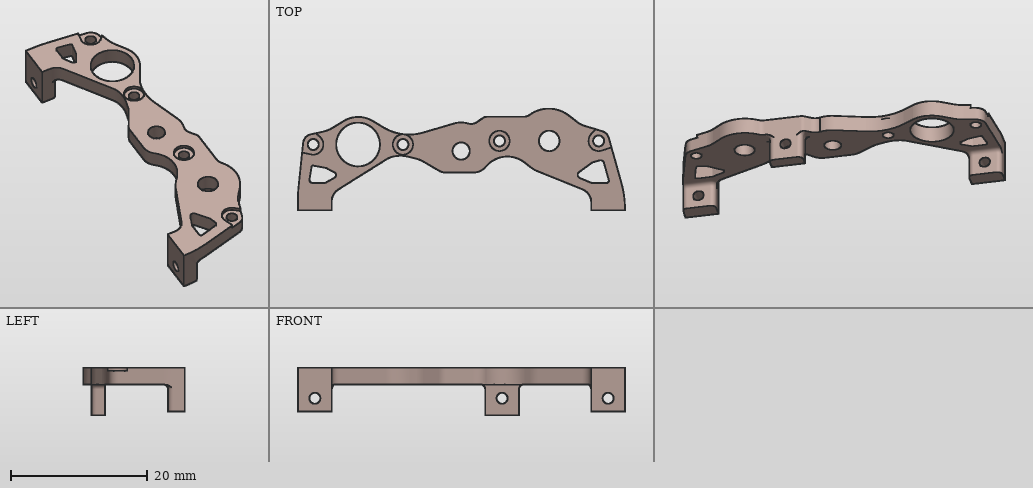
import cadquery as cq
import math

LENGTH = 48.0
PLATE_THICKNESS = 2.5

MIDDLE_EDGE_FRONT = 5.5
MIDDLE_EDGE_BACK = 13.75
LEG_NOTCH_RADIUS = 2.0

LEG_WIDTH = 5.0
LEG_CORNER_RADIUS = 0.75
LEG_ROOT_RADIUS = 0.65
SELECTION_TOLERANCE = 0.05
OUTER_LEG_DEPTH = 2.5
OUTER_LEG_BOTTOM = -6.5
MIDDLE_LEG_X = 29.95
MIDDLE_LEG_FRONT = 11.7
MIDDLE_LEG_BOTTOM = -7.0
LEG_HOLE_Z = -4.5

SCREW_DIAMETER = 1.6
COUNTERBORE_DIAMETER = 3.0
COUNTERBORE_DEPTH = 0.5
LEFT_ROW_Y = 9.65
RIGHT_ROW_Y = 10.2
SCREW_CENTERS = [(2.25, LEFT_ROW_Y), (15.4, LEFT_ROW_Y), (29.55, RIGHT_ROW_Y), (44.1, RIGHT_ROW_Y)]
OPEN_COUNTERBORES = [(SCREW_CENTERS[0], 153), (SCREW_CENTERS[-1], 33)]
OPENING_FLARE_ANGLE = 15
OPENING_LENGTH = 3.85
PLAIN_HOLES = [(8.85, LEFT_ROW_Y, 6.4), (23.95, 8.7, 2.5), (36.85, RIGHT_ROW_Y, 3.0)]

OUTLINE = [
    (0, 0, 0),
    (LEG_WIDTH, 0, 0),
    (LEG_WIDTH, 2.45, LEG_NOTCH_RADIUS),
    (13.6, 7.8, 3.1),
    (15.4, 8.05, 4.95),
    (17.95, 7.4, 3.5),
    (21.15, MIDDLE_EDGE_FRONT, 1.85),
    (26.8, MIDDLE_EDGE_FRONT, 2.3),
    (30.3, 9.35, 4.1),
    (34.55, 5.95, 4.1),
    (LENGTH - LEG_WIDTH, 2.55, LEG_NOTCH_RADIUS),
    (LENGTH - LEG_WIDTH, 0, 0),
    (LENGTH, 0, 0),
    (LENGTH, 2.1, 14.9),
    (45.4, 11.4, 1.55),
    (41.45, 12.6, 3.35),
    (36.85, 16.15, 4.75),
    (33.6, MIDDLE_EDGE_BACK, 1.45),
    (27.4, MIDDLE_EDGE_BACK, 0.95),
    (25.7, 12.55, 1.55),
    (23.95, 13.05, 3.6),
    (15.3, 10.5, 7.2),
    (8.85, 14.4, 4.05),
    (4.45, 11.7, 4.8),
    (0.85, 10.95, 1.55),
    (0, 2.6, 11.05),
]

LEFT_WINDOW = [(1.65, 4.05, 0.45), (4.05, 4.05, 0.5), (6.05, 5.2, 0.45), (4.15, 6.2, 0.25), (2.05, 6.6, 0.15)]
RIGHT_WINDOW = [(43.05, 4.05, 0.4), (45.7, 4.05, 0.3), (44.75, 7.45, 0.5), (43.2, 7.0, 0.5), (40.55, 5.1, 0.5)]


def rounded_corner(before, corner, after):
    """Return the start, middle and end of the arc that rounds a corner, or just a sharp corner."""
    x, y, radius = corner
    if radius == 0:
        return [(x, y)]
    point = cq.Vector(x, y)
    to_before = (cq.Vector(before[0], before[1]) - point).normalized()
    to_after = (cq.Vector(after[0], after[1]) - point).normalized()
    half_angle = to_before.getAngle(to_after) / 2
    setback = radius / math.tan(half_angle)
    middle_offset = radius / math.sin(half_angle) - radius
    bisector = (to_before + to_after).normalized()
    arc = [point + to_before * setback, point + bisector * middle_offset, point + to_after * setback]
    return [p.toTuple()[:2] for p in arc]


def rounded_prism(corners, height):
    """Extrude a polygon with rounded corners from the plate's top downwards."""
    neighbours = zip(corners[-1:] + corners[:-1], corners, corners[1:] + corners[:1])
    rounded = [rounded_corner(*three) for three in neighbours]
    sketch = cq.Workplane("XY").moveTo(*rounded[0][-1])
    for points in rounded[1:] + rounded[:1]:
        sketch = sketch.lineTo(*points[0])
        if len(points) > 1:
            sketch = sketch.threePointArc(*points[1:])
    return sketch.close().extrude(-height)


def box(x_min, x_max, y_min, y_max, z_min, z_max):
    """Box given by its limits along each axis."""
    size = (x_max - x_min, y_max - y_min, z_max - z_min)
    return cq.Workplane("XY").box(*size, centered=False).translate((x_min, y_min, z_min))


def leg(x_center, front, back, bottom):
    """Leg with rounded back edges and a fillet where its sides and back meet the plate."""
    x_min = x_center - LEG_WIDTH / 2
    x_max = x_center + LEG_WIDTH / 2
    margin = 2 * LEG_ROOT_RADIUS
    slab_x_min = x_min - margin
    slab_x_max = x_max + margin
    slab_back = back + margin
    post_front = front - margin
    slab_front = post_front - margin
    post = box(x_min, x_max, post_front, back, bottom, 0).edges("|Z and >Y").fillet(LEG_CORNER_RADIUS)
    slab = box(slab_x_min, slab_x_max, slab_front, slab_back, -PLATE_THICKNESS, 0)
    tolerance = cq.Vector(SELECTION_TOLERANCE, SELECTION_TOLERANCE, SELECTION_TOLERANCE)
    root_edges = cq.selectors.BoxSelector(
        (cq.Vector(x_min, post_front, -PLATE_THICKNESS) - tolerance).toTuple(),
        (cq.Vector(x_max, back, -PLATE_THICKNESS) + tolerance).toTuple(),
    )
    body = post.union(slab).edges(root_edges).fillet(LEG_ROOT_RADIUS)
    body = body.intersect(box(slab_x_min, slab_x_max, front, slab_back, bottom, 0))
    hole = cq.Workplane("XZ").center(x_center, LEG_HOLE_Z).circle(SCREW_DIAMETER / 2).extrude(-slab_back)
    return body.cut(hole)


def counterbore_opening(center, angle):
    """Wedge that leaves a counterbore along two tangents spreading out towards the part's side."""
    flare = math.radians(OPENING_FLARE_ANGLE)
    radius = COUNTERBORE_DIAMETER / 2
    tangent_x = -radius * math.sin(flare)
    tangent_y = radius * math.cos(flare)
    end_x = tangent_x + OPENING_LENGTH
    end_y = tangent_y + OPENING_LENGTH * math.tan(flare)
    corners = [(tangent_x, -tangent_y), (end_x, -end_y), (end_x, end_y), (tangent_x, tangent_y)]
    wedge = cq.Workplane("XY").polyline(corners).close().extrude(-COUNTERBORE_DEPTH)
    return wedge.rotate((0, 0, 0), (0, 0, 1), angle).translate(center)


full_height = rounded_prism(OUTLINE, -MIDDLE_LEG_BOTTOM)
result = rounded_prism(OUTLINE, PLATE_THICKNESS)
for x_center in (LEG_WIDTH / 2, LENGTH - LEG_WIDTH / 2):
    outer_leg = leg(x_center, 0, OUTER_LEG_DEPTH, OUTER_LEG_BOTTOM)
    result = result.union(outer_leg.intersect(full_height))
middle_leg = leg(MIDDLE_LEG_X, MIDDLE_LEG_FRONT, MIDDLE_EDGE_BACK, MIDDLE_LEG_BOTTOM)
result = result.union(middle_leg.intersect(full_height))

for window in (LEFT_WINDOW, RIGHT_WINDOW):
    result = result.cut(rounded_prism(window, PLATE_THICKNESS))

top = cq.Workplane("XY")
screw_holes = top.pushPoints(SCREW_CENTERS).circle(SCREW_DIAMETER / 2).extrude(-PLATE_THICKNESS)
counterbores = top.pushPoints(SCREW_CENTERS).circle(COUNTERBORE_DIAMETER / 2).extrude(-COUNTERBORE_DEPTH)
result = result.cut(screw_holes).cut(counterbores)
for center, angle in OPEN_COUNTERBORES:
    result = result.cut(counterbore_opening(center, angle))
for x, y, diameter in PLAIN_HOLES:
    result = result.cut(top.center(x, y).circle(diameter / 2).extrude(-PLATE_THICKNESS))